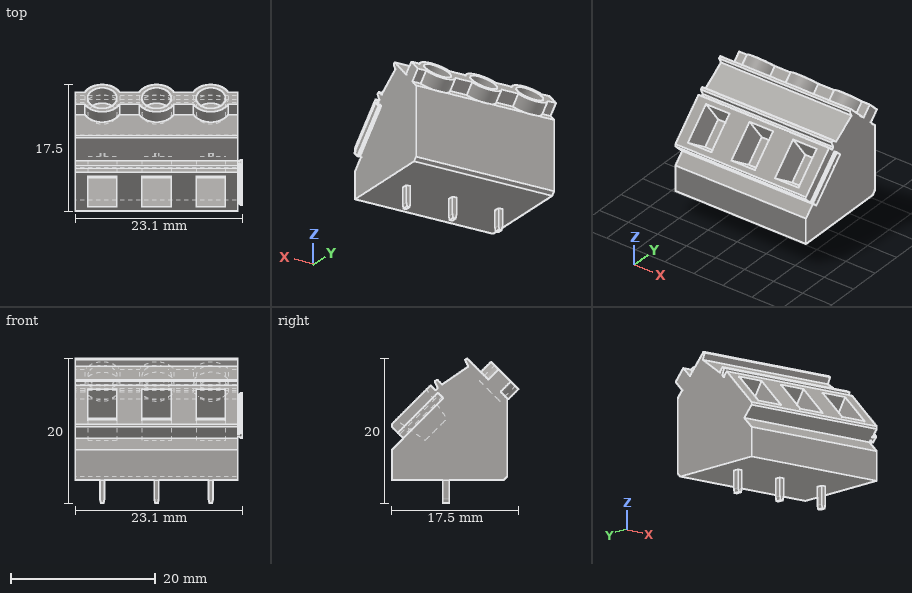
import cadquery as cq
import math


pole_count = 3
overall_length = 23.1
housing_length = 22.5
pole_pitch = housing_length / pole_count
pole_centers = [pole_pitch * (i + 0.5) for i in range(pole_count)]

housing_depth = 15.96
back_chamfer = 0.5
front_height = 4.2
v_groove_depth = 1.57
wire_face_start = 7.75
wire_face_run = 5.35
notch_drop = 0.7
screw_face_sum = 27.21
lower_fin_sum = 20.15

notch_end = (6.33, 12.68)
lower_fin_front = (5.9, 13.65)
lower_fin_top_z = 13.88
ridge_front_y = 6.93
ridge_back = (10.53, 15.68)
upper_fin_front = (10.1, 16.59)
upper_fin_top_z = 16.82

tower_height = 2.0
tower_radius = 2.68
tower_rear_y = 17.49
rail_width = 2.38
screw_hole_diameter = 4.05
screw_hole_depth = 3.0

funnel_width = 4.05
funnel_height = 5.94
funnel_depth = 4.8
funnel_taper = 10.0
funnel_start_y = 0.58

key_projection = overall_length - housing_length
key_neck_end = 0.16
key_flare_end = 0.42
key_width = 1.06
key_undercut = 0.28
key_length = 7.83

pin_width = 0.67
pin_thickness = 0.95
pin_length = 3.19
pin_tip_length = 0.6
pin_tip_width = 0.42
pin_center_y = 7.48

diagonal = math.sqrt(0.5)
x_axis = (1, 0, 0)
screw_face_normal = (0, diagonal, diagonal)
wire_face_normal = (0, -diagonal, diagonal)


def housing_block():
    """Cross-section of the housing, extruded along the row of poles."""
    groove_top = front_height + 2 * v_groove_depth
    wire_face_top = (wire_face_run, wire_face_start + wire_face_run)
    notch_floor = (wire_face_top[0] + notch_drop, wire_face_top[1] - notch_drop)
    outline = [
        (0, 0),
        (0, front_height),
        (v_groove_depth, front_height + v_groove_depth),
        (0, groove_top),
        (0, wire_face_start),
        wire_face_top,
        notch_floor,
        notch_end,
        lower_fin_front,
        (lower_fin_sum - lower_fin_top_z, lower_fin_top_z),
        (ridge_front_y, lower_fin_sum - ridge_front_y),
        ridge_back,
        upper_fin_front,
        (screw_face_sum - upper_fin_top_z, upper_fin_top_z),
        (housing_depth, screw_face_sum - housing_depth),
        (housing_depth, back_chamfer),
        (housing_depth - back_chamfer, 0),
    ]
    return cq.Workplane("YZ").polyline(outline).close().extrude(housing_length)


def tower_plane(x):
    """Plane of the tower tops, centred on the screw axis at the given X."""
    top_sum = screw_face_sum + tower_height / diagonal
    center_y = tower_rear_y - tower_radius * diagonal
    return cq.Plane(origin=(x, center_y, top_sum - center_y), xDir=x_axis, normal=screw_face_normal)


def tower_rail():
    """Straight rail joining the towers over the full length of the housing."""
    plane = tower_plane(housing_length / 2)
    return cq.Workplane(plane).rect(housing_length, rail_width).extrude(-tower_height)


def tower(x):
    return cq.Workplane(tower_plane(x)).circle(tower_radius).extrude(-tower_height)


def screw_hole(x):
    return cq.Workplane(tower_plane(x)).circle(screw_hole_diameter / 2).extrude(-screw_hole_depth)


def wire_funnel(x):
    """Trapezoid tapering inward from the wire face, of constant width along X."""
    center_y = funnel_start_y + funnel_height / 2 * diagonal
    plane = cq.Plane(
        origin=(x, center_y, wire_face_start + center_y),
        xDir=wire_face_normal,
        normal=x_axis,
    )
    mouth = funnel_height / 2
    floor = mouth - funnel_depth * math.tan(math.radians(funnel_taper))
    section = [(0, -mouth), (0, mouth), (-funnel_depth, floor), (-funnel_depth, -floor)]
    return cq.Workplane(plane).polyline(section).close().extrude(funnel_width / 2, both=True)


def dovetail_key():
    """Key parallel to the wire face, starting flush with the upper side of the V groove."""
    rim = key_width / 2
    neck = rim - key_undercut
    start_y = v_groove_depth - rim * diagonal
    start_z = front_height + v_groove_depth + rim * diagonal
    plane = cq.Plane(
        origin=(housing_length, start_y, start_z),
        xDir=x_axis,
        normal=screw_face_normal,
    )
    half_profile = [(0, neck), (key_neck_end, neck), (key_flare_end, rim), (key_projection, rim)]
    mirrored_half = [(x, -y) for x, y in reversed(half_profile)]
    return cq.Workplane(plane).polyline(half_profile + mirrored_half).close().extrude(key_length)


def make_housing():
    housing = housing_block().union(tower_rail())
    for x in pole_centers:
        housing = housing.union(tower(x))
    for x in pole_centers:
        housing = housing.cut(screw_hole(x)).cut(wire_funnel(x))
    return housing.union(dovetail_key())


def make_pin(x):
    """Flat pin hanging from the underside, with a tip narrowed along X."""
    half = pin_width / 2
    half_tip = pin_tip_width / 2
    tip_start_z = -pin_length + pin_tip_length
    outline = [
        (-half, 0),
        (-half, tip_start_z),
        (-half_tip, -pin_length),
        (half_tip, -pin_length),
        (half, tip_start_z),
        (half, 0),
    ]
    plane = cq.Plane(origin=(x, pin_center_y, 0), xDir=x_axis, normal=(0, -1, 0))
    return cq.Workplane(plane).polyline(outline).close().extrude(pin_thickness / 2, both=True)


housing = make_housing()
pins = [make_pin(x) for x in pole_centers]

result = cq.Compound.makeCompound([housing.val(), *[pin.val() for pin in pins]])